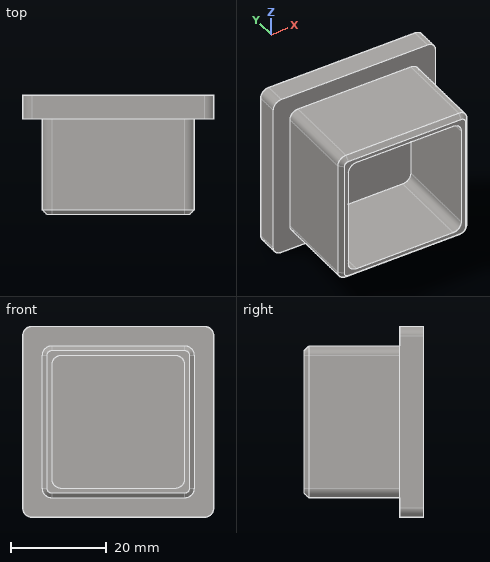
import cadquery as cq

flange_side = 40.0
flange_thickness = 5.0
flange_corner_radius = 2.0

plug_side = 31.8
plug_length = 20.0
plug_corner_radius = 2.0
tip_chamfer = 1.0

wall_thickness = 2.0
cavity_side = plug_side - 2 * wall_thickness
cavity_corner_radius = 2.0


def rounded_square_bar(side, length, corner_radius):
    """Square bar from the Y = 0 plane toward -Y, with rounded long edges."""
    bar = cq.Workplane("XZ").rect(side, side).extrude(length)
    return bar.edges("|Y").fillet(corner_radius)


flange = rounded_square_bar(flange_side, flange_thickness, flange_corner_radius)
flange = flange.translate((0, flange_thickness, 0))

plug = rounded_square_bar(plug_side, plug_length, plug_corner_radius)
plug = plug.faces("<Y").chamfer(tip_chamfer)

cavity = rounded_square_bar(cavity_side, plug_length, cavity_corner_radius)

result = flange.union(plug).cut(cavity)